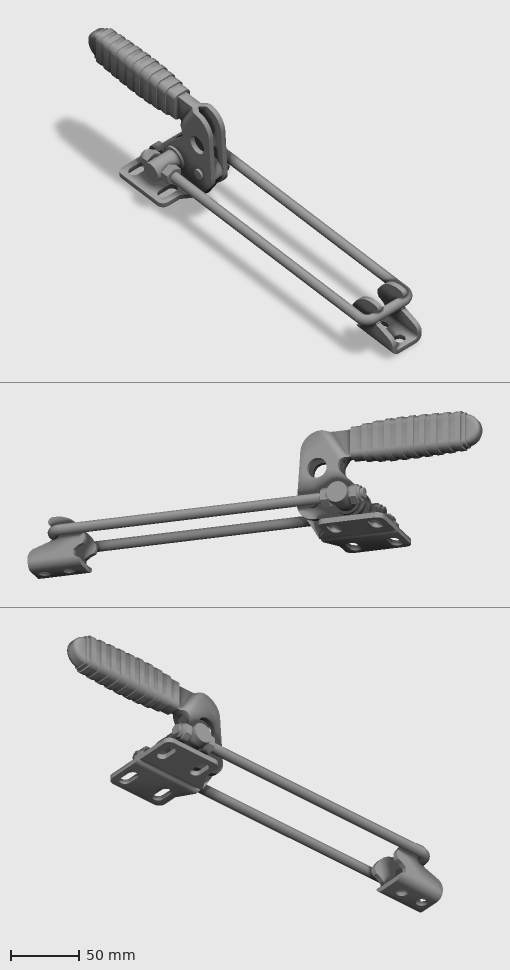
import cadquery as cq
import math


overall_length = 348.52
overall_height = 86.92
sheet = 4.0
small_overlap = 0.5

base_length = 51.0
base_width = 68.5
base_corner_radius = 5.5
tab_root_half_width = 17.3
tab_tip_x = 59.5
slot_width = 8.5
slot_length = 17.0
slot_edge_distance = 9.4
slot_y = 21.0
bend_outer_radius = sheet
bend_inner_radius = 0.85

web_half = sheet
web_nose_top_z = 13.3
web_shelf_z = 16.5
web_pivot_radius = 12.2

pivot_x = 62.5
pivot_z = 27.4
pivot_diameter = 8.5
pivot_half_length = 10.0
stop_x = 41.7
stop_z = 9.1
stop_diameter = 4.6
stop_bore = 3.4
trunnion_x = 35.7
trunnion_z = 24.6
trunnion_diameter = 16.0
trunnion_length = 64.0
collar_diameter = 20.4
collar_width = 2.0

lever_end_radius = 13.0
lever_top_x = 56.8
lever_top_z = 66.8
lever_top_radius = 16.0
lever_hole_x = 59.8
lever_hole_z = 54.0
lever_hole_diameter = 15.2
handle_top_z = 82.0
throat_x = 36.2
throat_z = 53.8
throat_radius = 7.2
joggle_x = 50.0
joggle_inner_radius = 2.0
joggle_ramp_angle = 45.0
joggle_angle = 59.0

grip_right_x = 34.0
grip_tip_x = -65.3
rib_count = 19
rib_pitch = 4.53
rib_depth = 0.7
fattest_rib = 10
grip_half_height = 15.2
grip_half_width = 10.0
grip_left_half_height = 13.9
grip_left_half_width = 8.2
grip_right_half_height = 11.8
grip_right_half_width = 7.2
grip_flat_half_width = 3.7
nose_half_height = 11.7
nose_half_width = 6.0
nose_fillet = 3.5
nose_collar_length = 3.2
nose_collar_growth = 0.8

rod_diameter = 8.0
thread_diameter = 7.99
rod_y = 22.0
rod_start_x = 17.3
thread_end_x = 126.9
crossbar_x = 262.7
rod_bend_radius = 7.5
rod_clearance_diameter = 8.3

nut_corner_diameter = 15.2
nut_chamfer_diameter = 12.7
nut_chamfer_length = 0.7
nut_thickness = 6.6
lock_nut_hex_thickness = 5.8
lock_collar_diameter = 11.6
lock_collar_length = 2.0

catch_width = 28.5
catch_bend_outer = 6.3
catch_height = 38.0
catch_left_x = 238.8
catch_foot_x = 243.0
catch_neck_x = 247.4
catch_hole_diameter = 8.5
catch_hole_xs = (255.9, 274.9)
catch_slot_diameter = 8.5
catch_right_x = grip_tip_x + overall_length


def cylinder_y(x, z, diameter, half_length):
    """Cylinder along Y, centred on the mid-plane."""
    return cq.Workplane("XZ", origin=(x, 0, z)).circle(diameter / 2).extrude(half_length, both=True)


def cylinder_x(x_start, x_end, y, z, diameter):
    """Cylinder along X between two stations."""
    return cq.Workplane("YZ", origin=(x_start, y, z)).circle(diameter / 2).extrude(x_end - x_start)


def polar(center, radius, angle):
    return center[0] + radius * math.cos(angle), center[1] + radius * math.sin(angle)


def tangent_line(center_1, radius_1, center_2, radius_2):
    """Ends of the line touching two circles on the right-hand side of the way from 1 to 2.

    A negative radius puts that circle on the other side of the line.
    """
    dx = center_2[0] - center_1[0]
    dz = center_2[1] - center_1[1]
    lean = math.acos((radius_1 - radius_2) / math.hypot(dx, dz))
    normal = math.atan2(dz, dx) - lean
    return polar(center_1, radius_1, normal), polar(center_2, radius_2, normal)


def arc_middle(center, radius, start, end, counterclockwise=True):
    """Middle point of the arc from start to end round a centre."""
    start_angle = math.atan2(start[1] - center[1], start[0] - center[0])
    end_angle = math.atan2(end[1] - center[1], end[0] - center[0])
    sweep = (end_angle - start_angle) % (2 * math.pi)
    if not counterclockwise:
        sweep -= 2 * math.pi
    return polar(center, radius, start_angle + sweep / 2)


pivot_center = (pivot_x, pivot_z)
trunnion_center = (trunnion_x, trunnion_z)


def make_base_plate():
    plate = (
        cq.Workplane("XY")
        .box(base_length, base_width, sheet, centered=(False, True, False))
        .edges("|Z")
        .fillet(base_corner_radius)
    )
    tab = (
        cq.Workplane("XY")
        .moveTo(base_length - small_overlap, -tab_root_half_width)
        .lineTo(base_length, -tab_root_half_width)
        .lineTo(tab_tip_x, -web_half)
        .lineTo(tab_tip_x, web_half)
        .lineTo(base_length, tab_root_half_width)
        .lineTo(base_length - small_overlap, tab_root_half_width)
        .close()
        .extrude(sheet)
    )
    slot_xs = (slot_edge_distance, base_length - slot_edge_distance)
    slots = (
        cq.Workplane("XY")
        .pushPoints([(x, y) for x in slot_xs for y in (-slot_y, slot_y)])
        .slot2D(slot_length, slot_width, 90)
        .extrude(sheet)
    )
    return plate.union(tab).cut(slots)


def make_web():
    """Upright web: stepped nose, low shelf under the trunnion, round head about the pivot."""
    nose_foot_z = 6.5
    nose_wall_x = 2.4
    nose_wall_bottom_z = 8.3
    nose_radius = 3.4
    step_start_x = 12.6
    step_end_x = 15.7
    head_right_foot = (68.0, 14.2)
    head_left_x = pivot_x - web_pivot_radius
    nose_center = (nose_wall_x + nose_radius, web_nose_top_z - nose_radius)
    nose_middle = polar(nose_center, nose_radius, math.radians(135))
    return (
        cq.Workplane("XZ")
        .moveTo(0, 0)
        .lineTo(0, nose_foot_z)
        .lineTo(nose_wall_x, nose_wall_bottom_z)
        .lineTo(nose_wall_x, nose_center[1])
        .threePointArc(nose_middle, (nose_center[0], web_nose_top_z))
        .lineTo(step_start_x, web_nose_top_z)
        .lineTo(step_end_x, web_shelf_z)
        .lineTo(head_left_x, web_shelf_z)
        .lineTo(head_left_x, pivot_z)
        .threePointArc((pivot_x, pivot_z + web_pivot_radius), (pivot_x + web_pivot_radius, pivot_z))
        .lineTo(*head_right_foot)
        .lineTo(tab_tip_x, 0)
        .close()
        .extrude(web_half, both=True)
    )


def make_web_fold():
    """Small inside radius where the web leaves the plate, on both sides."""
    fold = cq.Workplane("YZ")
    r = bend_inner_radius
    arc_reach = r * (1 - math.sqrt(0.5))
    for side in (-1, 1):
        fold = fold.add(
            cq.Workplane("YZ")
            .moveTo(side * (web_half - small_overlap), sheet - small_overlap)
            .lineTo(side * (web_half + r), sheet - small_overlap)
            .lineTo(side * (web_half + r), sheet)
            .threePointArc((side * (web_half + arc_reach), sheet + arc_reach), (side * web_half, sheet + r))
            .lineTo(side * (web_half - small_overlap), sheet + r)
            .close()
            .extrude(tab_tip_x)
        )
    return fold.combine()


def make_fold_groove():
    """Cusp left under the web by the two outer bend radii."""
    r = bend_outer_radius
    arc_reach = r * (1 - math.sqrt(0.5))
    return (
        cq.Workplane("YZ")
        .moveTo(-r, 0)
        .threePointArc((-arc_reach, arc_reach), (0, r))
        .threePointArc((arc_reach, arc_reach), (r, 0))
        .close()
        .extrude(tab_tip_x + sheet)
    )


def make_base():
    base = make_base_plate().union(make_web()).union(make_web_fold()).cut(make_fold_groove())
    base = base.union(cylinder_y(pivot_x, pivot_z, pivot_diameter, pivot_half_length))
    base = base.union(cylinder_y(stop_x, stop_z, stop_diameter, 2 * sheet))
    return base.cut(cylinder_y(stop_x, stop_z, stop_bore, base_width / 2))


def make_lever_outline():
    top_center = (lever_top_x, lever_top_z)
    throat_center = (throat_x, throat_z)
    tang_x = grip_right_x - small_overlap
    bottom_start, bottom_end = tangent_line(trunnion_center, lever_end_radius, pivot_center, lever_end_radius)
    right_start, right_end = tangent_line(pivot_center, lever_end_radius, top_center, lever_top_radius)
    back_start, back_end = tangent_line(throat_center, -throat_radius, trunnion_center, lever_end_radius)
    top_rise = handle_top_z - lever_top_z
    top_end = (lever_top_x - math.sqrt(lever_top_radius**2 - top_rise**2), handle_top_z)
    throat_start = (throat_x, throat_z + throat_radius)
    return (
        cq.Workplane("XZ")
        .moveTo(*bottom_start)
        .lineTo(*bottom_end)
        .threePointArc(arc_middle(pivot_center, lever_end_radius, bottom_end, right_start), right_start)
        .lineTo(*right_end)
        .threePointArc(arc_middle(top_center, lever_top_radius, right_end, top_end), top_end)
        .lineTo(tang_x, handle_top_z)
        .lineTo(tang_x, throat_start[1])
        .lineTo(*throat_start)
        .threePointArc(arc_middle(throat_center, throat_radius, throat_start, back_start, False), back_start)
        .lineTo(*back_end)
        .threePointArc(arc_middle(trunnion_center, lever_end_radius, back_end, bottom_start), bottom_start)
        .close()
        .extrude(2 * sheet, both=True)
    )


def make_joggled_sheets():
    """Endless pair of sheets: touching before the joggle line, one web width apart after it."""
    reach = 100.0
    along_x = math.cos(math.radians(joggle_angle))
    along_z = math.sin(math.radians(joggle_angle))
    section_plane = cq.Plane(
        origin=(joggle_x, 0, handle_top_z), xDir=(along_z, 0, -along_x), normal=(along_x, 0, along_z)
    )
    ramp = math.radians(joggle_ramp_angle)
    ramp_length = sheet / math.tan(ramp)
    half_turn = math.tan(ramp / 2)
    inner_start = sheet * half_turn
    inner_corner = inner_start + ramp_length
    inner_trim = joggle_inner_radius * half_turn
    outer_trim = (joggle_inner_radius + sheet) * half_turn
    cheek = (
        cq.Workplane(section_plane)
        .moveTo(-reach, 0)
        .lineTo(inner_start, 0)
        .lineTo(inner_corner - inner_trim * math.cos(ramp), sheet - inner_trim * math.sin(ramp))
        .tangentArcPoint((inner_corner + inner_trim, sheet), relative=False)
        .lineTo(reach, sheet)
        .lineTo(reach, 2 * sheet)
        .lineTo(ramp_length + outer_trim, 2 * sheet)
        .tangentArcPoint(
            (ramp_length - outer_trim * math.cos(ramp), 2 * sheet - outer_trim * math.sin(ramp)),
            relative=False,
        )
        .lineTo(0, sheet)
        .lineTo(-reach, sheet)
        .close()
        .extrude(reach, both=True)
    )
    return cheek.union(cheek.mirror("XZ"))


grip_center_z = overall_height - grip_half_height
ribs_left_x = grip_right_x - rib_count * rib_pitch
fattest_x = ribs_left_x + (fattest_rib + 0.5) * rib_pitch


def grip_block(x_start, length, half_width, half_height):
    """One slice of the grip: a block with its long edges rounded down to the flat band."""
    return (
        cq.Workplane("XY")
        .box(length, 2 * half_width, 2 * half_height, centered=(False, True, True))
        .edges("|X")
        .fillet(half_width - grip_flat_half_width)
        .translate((x_start, 0, grip_center_z))
    )


def grip_size(x, middle, left, right):
    """Parabolic swell of the grip: full size at the fattest station, less at both ends."""
    end, end_x = (left, ribs_left_x) if x < fattest_x else (right, grip_right_x)
    return middle - (middle - end) * ((x - fattest_x) / (end_x - fattest_x)) ** 2


def make_nose():
    nose_end_x = ribs_left_x + small_overlap
    nose = (
        cq.Workplane("XZ", origin=(nose_end_x, 0, grip_center_z))
        .moveTo(0, -nose_half_height)
        .threePointArc((grip_tip_x - nose_end_x, 0), (0, nose_half_height))
        .close()
        .extrude(nose_half_width, both=True)
    )
    nose = nose.faces("<Y or >Y").edges("not |Z").fillet(nose_fillet)
    nose_collar = grip_block(
        ribs_left_x - nose_collar_length,
        nose_collar_length + small_overlap,
        nose_half_width + nose_collar_growth,
        nose_half_height + nose_collar_growth,
    )
    return nose.union(nose_collar)


def make_grip():
    """Raised and sunken slices by turns, behind a rounded nose."""
    grip = make_nose()
    for index in range(rib_count):
        x_start = ribs_left_x + index * rib_pitch
        x_middle = x_start + rib_pitch / 2
        sunk = rib_depth * (index % 2)
        half_width = grip_size(x_middle, grip_half_width, grip_left_half_width, grip_right_half_width)
        half_height = grip_size(x_middle, grip_half_height, grip_left_half_height, grip_right_half_height)
        grip = grip.union(grip_block(x_start, rib_pitch, half_width - sunk, half_height - sunk))
    return grip


def make_lever():
    lever = make_lever_outline().intersect(make_joggled_sheets()).union(make_grip())
    holes = (
        (lever_hole_x, lever_hole_z, lever_hole_diameter),
        (pivot_x, pivot_z, pivot_diameter),
        (trunnion_x, trunnion_z, trunnion_diameter),
    )
    for x, z, diameter in holes:
        lever = lever.cut(cylinder_y(x, z, diameter, 3 * sheet))
    return lever


def make_trunnion():
    trunnion = cylinder_y(trunnion_x, trunnion_z, trunnion_diameter, trunnion_length / 2)
    collars = cylinder_y(trunnion_x, trunnion_z, collar_diameter, 2 * sheet + collar_width)
    trunnion = trunnion.union(collars.cut(cylinder_y(trunnion_x, trunnion_z, collar_diameter, 2 * sheet)))
    for y in (-rod_y, rod_y):
        bore_start = trunnion_x - trunnion_diameter
        bore_end = trunnion_x + trunnion_diameter
        bore = cylinder_x(bore_start, bore_end, y, trunnion_z, rod_clearance_diameter)
        trunnion = trunnion.cut(bore)
    return trunnion


def make_u_bolt():
    bend_x = crossbar_x - rod_bend_radius
    bend_y = rod_y - rod_bend_radius
    bend_reach = rod_bend_radius * math.sqrt(0.5)
    path = (
        cq.Workplane("XY", origin=(0, 0, trunnion_z))
        .moveTo(thread_end_x, -rod_y)
        .lineTo(bend_x, -rod_y)
        .threePointArc((bend_x + bend_reach, -bend_y - bend_reach), (crossbar_x, -bend_y))
        .lineTo(crossbar_x, bend_y)
        .threePointArc((bend_x + bend_reach, bend_y + bend_reach), (bend_x, rod_y))
        .lineTo(thread_end_x, rod_y)
    )
    bolt = (
        cq.Workplane("YZ", origin=(thread_end_x, -rod_y, trunnion_z)).circle(rod_diameter / 2).sweep(path)
    )
    for y in (-rod_y, rod_y):
        bolt = bolt.union(cylinder_x(rod_start_x, thread_end_x, y, trunnion_z, thread_diameter))
    return bolt


def make_hex(thickness):
    """Hexagon along +X from X = 0, with two corners at top and bottom and the far end chamfered."""
    hexagon = (
        cq.Workplane("YZ").polygon(6, nut_corner_diameter).extrude(thickness).rotate((0, 0, 0), (1, 0, 0), 90)
    )
    envelope = (
        cq.Workplane("XY")
        .lineTo(0, nut_corner_diameter / 2)
        .lineTo(thickness - nut_chamfer_length, nut_corner_diameter / 2)
        .lineTo(thickness, nut_chamfer_diameter / 2)
        .lineTo(thickness, 0)
        .close()
        .revolve(360, (0, 0, 0), (1, 0, 0))
    )
    return hexagon.intersect(envelope)


def make_plain_nut(y):
    nut = make_hex(nut_thickness).cut(cylinder_x(0, nut_thickness, 0, 0, thread_diameter))
    return nut.translate((trunnion_x + trunnion_diameter / 2, y, trunnion_z))


def make_lock_nut(y):
    """Nut facing -X with a round collar on its outer end."""
    length = lock_nut_hex_thickness + lock_collar_length
    nut = make_hex(lock_nut_hex_thickness)
    nut = nut.union(cylinder_x(0, length, 0, 0, lock_collar_diameter))
    nut = nut.cut(cylinder_x(0, length, 0, 0, thread_diameter))
    nut = nut.rotate((0, 0, 0), (0, 0, 1), 180)
    return nut.translate((trunnion_x - trunnion_diameter / 2, y, trunnion_z))


def make_catch_channel():
    """U section along X: floor and two flanges, rounded inside and outside at the bends."""
    length = catch_right_x - catch_left_x
    channel = (
        cq.Workplane("XY")
        .box(length, catch_width, catch_height, centered=(False, True, False))
        .edges("|X and <Z")
        .fillet(catch_bend_outer)
    )
    inside = (
        cq.Workplane("XY")
        .box(length, catch_width - 2 * sheet, catch_height, centered=(False, True, False))
        .edges("|X and <Z")
        .fillet(catch_bend_outer - sheet)
        .translate((0, 0, sheet))
    )
    return channel.cut(inside).translate((catch_left_x, 0, 0))


def make_catch_outline():
    """Side shape: foot, neck, rounded back, hooked top lobe, slot and sloping front."""
    foot_z = 4.5
    neck_bottom_z = 6.5
    neck_top_z = 11.3
    heel_top = (244.0, 14.0)
    heel_corner = (240.0, 15.5)
    heel_z = 18.0
    back_foot_z = 22.0
    lobe_start = (243.3, 29.0)
    lobe_middle = (250.0, 35.0)
    lobe_top_x = 260.0
    lobe_tip_radius = 3.5
    lobe_tip_x = 263.7
    lobe_tip_z = catch_height - lobe_tip_radius
    slot_lean = math.radians(25)
    lobe_tip_end = polar((lobe_tip_x, lobe_tip_z), lobe_tip_radius, slot_lean - math.pi / 2)
    front_start = (265.3, 19.6)
    front_end = (279.0, 15.0)
    front_middle = (282.0, 12.5)
    front_foot_z = 8.0
    slot_radius = catch_slot_diameter / 2
    slot_center = (crossbar_x, trunnion_z)
    slot_top = polar(slot_center, slot_radius, math.pi / 2 + slot_lean)
    slot_bottom = polar(slot_center, slot_radius, -math.pi / 2)
    return (
        cq.Workplane("XZ")
        .moveTo(catch_foot_x, 0)
        .lineTo(catch_foot_x, foot_z)
        .lineTo(catch_neck_x, neck_bottom_z)
        .lineTo(catch_neck_x, neck_top_z)
        .lineTo(*heel_top)
        .lineTo(*heel_corner)
        .lineTo(catch_left_x, heel_z)
        .lineTo(catch_left_x, back_foot_z)
        .lineTo(*lobe_start)
        .threePointArc(lobe_middle, (lobe_top_x, catch_height))
        .lineTo(lobe_tip_x, catch_height)
        .threePointArc((lobe_tip_x + lobe_tip_radius, lobe_tip_z), lobe_tip_end)
        .lineTo(*slot_top)
        .threePointArc((crossbar_x - slot_radius, trunnion_z), slot_bottom)
        .lineTo(front_start[0], slot_bottom[1])
        .lineTo(*front_start)
        .lineTo(*front_end)
        .threePointArc(front_middle, (catch_right_x, front_foot_z))
        .lineTo(catch_right_x, 0)
        .close()
        .extrude(catch_width, both=True)
    )


def make_catch():
    catch = make_catch_channel().intersect(make_catch_outline())
    holes = (
        cq.Workplane("XY")
        .pushPoints([(x, 0) for x in catch_hole_xs])
        .circle(catch_hole_diameter / 2)
        .extrude(2 * sheet)
    )
    return catch.cut(holes)


base = make_base()
lever = make_lever()
trunnion = make_trunnion()
u_bolt = make_u_bolt()
catch = make_catch()
nuts = []
for leg_y in (-rod_y, rod_y):
    nuts.append(make_plain_nut(leg_y).solids().val())
    nuts.append(make_lock_nut(leg_y).solids().val())

result = cq.Compound.makeCompound(
    [*(part.solids().val() for part in (base, lever, trunnion, u_bolt, catch)), *nuts]
)